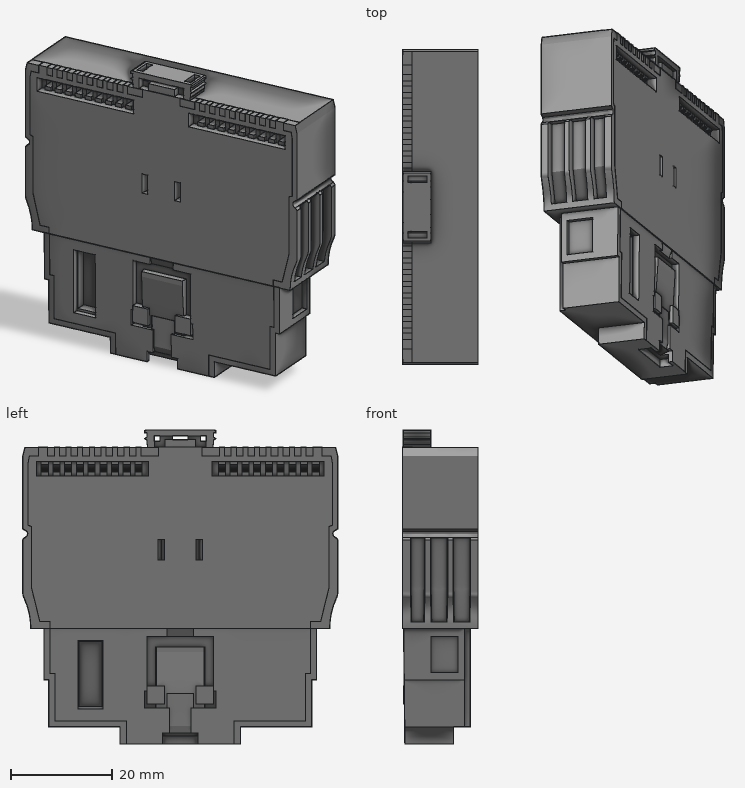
import cadquery as cq


housing_width = 14.9
housing_half_length = 31.1
housing_top = 58.6
housing_bottom = 22.8
top_edge_half_length = 30.65
top_taper_start = 56.8
bend_top = 30.1
bend_middle = (31.02, 29.4)
bend_y = 30.8
bend_bottom = 28.8
skirt_middle = (29.95, 26.4)
skirt_half_length = 29.5

notch_top = 42.5
notch_root_start = (30.3, 42.0)
notch_root_middle = (30.15, 41.35)
notch_lip = (30.7, 40.8)
notch_bottom = 40.3

cover_thickness = 1.85
seam_step = 0.05
cover_half_length = 30.0
cover_corner_y = 29.75
cover_corner_z = 55.6
cover_shoulder = 56.9
cover_neck_top = 43.2
cover_neck_bottom = 42.9
cover_neck_y = 29.3
cover_bend = 30.7
cover_heel_y = 27.7
cover_heel_z = 24.2
cover_top_half_length = 28.0

tooth_count = 8
tooth_pitch = 2.3
tooth_width = 1.3
first_tooth_y = 25.5
wide_tooth_inner = 4.3
wide_tooth_outer = 7.7

body_left_top = 0.2
body_left_bottom = 0.45
body_right = 12.2
back_strip_right = 13.4
body_half_length = 26.9
body_step_z = 12.7
body_lower_half_length = 25.95
body_bottom = 3.4
foot_half_length = 11.9
foot_right = 10.05
lower_cover_inset = 1.25
lower_cover_rise = 1.2

grip_slots = ((1.55, 4.45), (5.5, 8.95), (9.95, 13.45))
grip_top = 40.7
grip_bottom = 24.1
grip_draft = 0.15

window_inner = 6.3
window_outer = 28.4
window_bottom = 52.9
window_top = 55.8
window_depth = 2.0
rib_count = 9
rib_pitch = 2.31
rib_first_y = 8.25
rib_width = 1.4
rib_height = 0.6
rib_hole_bottom = 53.7
rib_hole_top = 55.2
rib_hole_depth = 3.0

key_inner = 3.1
key_outer = 4.4
key_floor_outer = 3.65
key_bottom = 36.3
key_top = 40.4
key_depth = 4.0

connector_y = (15.2, 20.2)
connector_z = (6.9, 20.5)
connector_step_depth = 1.6
connector_depth = 3.8
connector_inset = 0.25
connector_floor_inset = 0.5

end_pocket_x = (5.6, 11.0)
end_pocket_z = (14.1, 21.2)
end_pocket_depth = 1.1

latch_half_width = 6.6
latch_bottom = 7.15
latch_top = 21.2
latch_floor = 1.7
latch_wing_half_width = 7.05
latch_wing_top = 10.5
ramp_half_width = 2.6
ramp_depth = 0.8
slider_half_width = 4.85
slider_top = 19.2
slider_edge = 18.1
slider_front = 0.35
slider_back = 1.05
slider_draft = 0.2
tongue_front = 0.8
tongue_top = 10.0
tongue_half_width = 2.6
channel_half_width = 2.1
channel_slope_top = 3.5
channel_bottom = 2.25
channel_slope_run = 0.4
clip_y = (3.1, 6.6)
clip_z = (7.9, 11.5)
clip_front = 0.2
foot_notch_half_width = 3.5
foot_notch_top = 2.25
foot_notch_depth = 3.0
foot_notch_lip = 1.6
foot_wall = 1.3
foot_cavity_half_width = 6.0
foot_cavity_depth = 4.0

tab_top = 62.0
tab_x = (0.15, 5.6)
tab_half_length = 6.6
tab_flange_half_length = 7.05
tab_top_half_length = 6.7
tab_flange_edge = 61.85
tab_waist_half_length = 6.5
tab_waist_top = 59.1
tab_flange_bottom = 61.4
tab_ridge_bottom = 60.0
tab_ridge_top = 60.6
tab_opening_half = 5.1
tab_opening_top = 60.8
tab_front_block_half = 3.0
tab_front_block_top = 60.1
tab_front_block_depth = 1.5
tab_back_block_half = 4.0
tab_back_gap_half = 1.5
tab_foot_top = 59.8
tab_slot_x = (1.05, 4.8)
tab_slot_y = (4.8, 6.1)

overlap = 1.0


def box(x_range, y_range, z_range):
    """Axis-aligned box between the given limits."""
    size = [limits[1] - limits[0] for limits in (x_range, y_range, z_range)]
    return cq.Workplane("XY").box(*size, centered=False).translate((x_range[0], y_range[0], z_range[0]))


def both_sides(half):
    """The shape together with its mirror image across Y = 0."""
    return half.union(half.mirror("XZ"))


def end_prism(points, x_start, x_end):
    """Prism along X over an outline of (Y, Z) points."""
    outline = cq.Workplane("YZ").workplane(offset=x_start).polyline(points).close()
    return outline.extrude(x_end - x_start)


def side_prism(points, half_length):
    """Prism along Y, centred on Y = 0, over an outline of (X, Z) points."""
    return cq.Workplane("XZ").polyline(points).close().extrude(half_length, both=True)


def housing_shell():
    half = (
        cq.Workplane("YZ")
        .workplane(offset=seam_step)
        .moveTo(0, housing_bottom)
        .lineTo(skirt_half_length, housing_bottom)
        .threePointArc(skirt_middle, (bend_y, bend_bottom))
        .threePointArc(bend_middle, (housing_half_length, bend_top))
        .lineTo(housing_half_length, notch_bottom)
        .lineTo(*notch_lip)
        .threePointArc(notch_root_middle, notch_root_start)
        .lineTo(housing_half_length, notch_top)
        .lineTo(housing_half_length, top_taper_start)
        .lineTo(top_edge_half_length, housing_top - seam_step)
        .lineTo(0, housing_top - seam_step)
        .close()
        .extrude(housing_width - seam_step)
    )
    front_strip = box(
        (0, cover_thickness),
        (-housing_half_length, housing_half_length),
        (housing_top - 2 * seam_step, housing_top),
    )
    return both_sides(half).cut(front_strip)


def upper_cover():
    half = end_prism(
        [
            (0, housing_bottom),
            (body_half_length - lower_cover_inset, housing_bottom),
            (body_half_length - lower_cover_inset, cover_heel_z),
            (cover_heel_y, cover_heel_z),
            (cover_neck_y, cover_bend),
            (cover_neck_y, cover_neck_bottom),
            (cover_half_length, cover_neck_top),
            (cover_half_length, cover_corner_z),
            (cover_corner_y, cover_shoulder),
            (cover_top_half_length, cover_shoulder),
            (cover_top_half_length, housing_top),
            (0, housing_top),
        ],
        0,
        cover_thickness,
    )
    tooth_x = (-overlap, cover_thickness + overlap)
    tooth_z = (cover_shoulder, housing_top + overlap)
    half = half.cut(box(tooth_x, (wide_tooth_inner, wide_tooth_outer), tooth_z))
    for index in range(tooth_count):
        middle = first_tooth_y - index * tooth_pitch
        half = half.cut(box(tooth_x, (middle - tooth_width / 2, middle + tooth_width / 2), tooth_z))
    return both_sides(half)


def body_outline(inset, rise):
    """Stepped (Y, Z) outline of the lower body, drawn in by the inset and up by the rise."""
    half = [
        (foot_half_length - inset, 0),
        (foot_half_length - inset, body_bottom + rise),
        (body_lower_half_length - inset, body_bottom + rise),
        (body_lower_half_length - inset, body_step_z + rise),
        (body_half_length - inset, body_step_z + rise),
        (body_half_length - inset, housing_bottom),
    ]
    return half + [(-y, z) for y, z in reversed(half)]


def lower_body():
    left_profile = [
        (body_left_top, housing_bottom),
        (body_left_bottom, 0),
        (foot_right, 0),
        (foot_right, body_bottom),
        (back_strip_right, body_bottom),
        (back_strip_right, housing_bottom),
    ]
    shell = end_prism(body_outline(0, 0), seam_step, body_right)
    cover = end_prism(body_outline(lower_cover_inset, lower_cover_rise), 0, cover_thickness)
    back_strip_half_length = body_lower_half_length - lower_cover_inset
    back_strip = box(
        (body_right, back_strip_right),
        (-back_strip_half_length, back_strip_half_length),
        (body_bottom, housing_bottom),
    )
    profile = side_prism(left_profile, body_half_length)
    shell = shell.union(back_strip).intersect(profile.translate((seam_step, 0, 0)))
    return shell.union(cover.intersect(profile))


def grip_slot_cutters():
    floor = [
        (cover_neck_y, grip_top),
        (cover_neck_y, cover_bend),
        (cover_heel_y, grip_bottom),
        (housing_half_length + overlap, grip_bottom),
        (housing_half_length + overlap, grip_top),
    ]
    region = end_prism(floor, 0, housing_width)
    draft_slope = grip_draft / (housing_half_length - cover_neck_y)
    outer_y = housing_half_length + overlap
    outer_growth = draft_slope * overlap
    inner_shrink = draft_slope * (housing_half_length - cover_heel_y)
    cutters = cq.Workplane("XY")
    for first, last in grip_slots:
        wedge = (
            cq.Workplane("XY")
            .polyline(
                [
                    (first + inner_shrink, cover_heel_y),
                    (last - inner_shrink, cover_heel_y),
                    (last + outer_growth, outer_y),
                    (first - outer_growth, outer_y),
                ]
            )
            .close()
            .extrude(housing_top)
        )
        cutters = cutters.add(region.intersect(wedge))
    return both_sides(cutters.combine())


def window_cutters():
    half = box((-overlap, window_depth), (window_inner, window_outer), (window_bottom, window_top))
    rib_x = (window_depth - rib_height, window_depth)
    hole = [
        (rib_x[0], rib_hole_bottom),
        (rib_x[0] + rib_hole_depth, rib_hole_bottom),
        (rib_x[0], rib_hole_top),
    ]
    for index in range(rib_count):
        middle = rib_first_y + index * rib_pitch
        rib_y = (middle - rib_width / 2, middle + rib_width / 2)
        half = half.cut(box(rib_x, rib_y, (window_bottom, window_top)))
        half = half.union(side_prism(hole, rib_width / 2).translate((0, middle, 0)))
    return both_sides(half)


def key_slot_cutters():
    half = (
        cq.Workplane("XY")
        .workplane(offset=key_bottom)
        .polyline([(0, key_inner), (key_depth, key_inner), (key_depth, key_floor_outer), (0, key_outer)])
        .close()
        .extrude(key_top - key_bottom)
    )
    return both_sides(half)


def connector_cutter():
    opening = box((-overlap, connector_step_depth), connector_y, connector_z)
    inner = box(
        (0, connector_depth),
        (connector_y[0] + connector_inset, connector_y[1] - connector_inset),
        (connector_z[0] + connector_floor_inset, connector_z[1] - connector_inset),
    )
    return opening.union(inner)


def end_pocket_cutters():
    pocket_y = (body_half_length - end_pocket_depth, body_half_length + overlap)
    return both_sides(box(end_pocket_x, pocket_y, end_pocket_z))


def latch_cutters():
    recess_x = (-overlap, latch_floor)
    recess = box(recess_x, (-latch_half_width, latch_half_width), (latch_bottom, latch_top))
    wings = box(
        recess_x, (-latch_wing_half_width, latch_wing_half_width), (latch_bottom, latch_wing_top)
    )
    ramp = side_prism(
        [(0, latch_top), (ramp_depth, latch_top), (body_left_top, housing_bottom), (0, housing_bottom)],
        ramp_half_width,
    )
    channel = side_prism(
        [
            (0, latch_bottom),
            (tongue_front, latch_bottom),
            (tongue_front, channel_slope_top),
            (tongue_front + channel_slope_run, channel_bottom),
            (0, channel_bottom),
        ],
        channel_half_width,
    )
    foot_notch = side_prism(
        [
            (0, 0),
            (foot_notch_depth, 0),
            (foot_notch_depth, foot_notch_lip),
            (tongue_front + channel_slope_run, foot_notch_top),
            (0, foot_notch_top),
        ],
        foot_notch_half_width,
    )
    foot_cavity = box(
        (foot_wall, foot_cavity_depth),
        (-foot_cavity_half_width, foot_cavity_half_width),
        (0, foot_notch_lip),
    )
    return recess.union(wings).union(ramp).union(channel).union(foot_notch).union(foot_cavity)


def latch_slider():
    block = side_prism(
        [
            (latch_floor, slider_top),
            (slider_front, slider_top),
            (slider_front, slider_edge),
            (slider_back, latch_bottom),
            (latch_floor, latch_bottom),
        ],
        slider_half_width,
    )
    drafted_sides = (
        cq.Workplane("XY")
        .polyline(
            [
                (latch_floor, -slider_half_width),
                (latch_floor, slider_half_width),
                (slider_front, slider_half_width - slider_draft),
                (slider_front, slider_draft - slider_half_width),
            ]
        )
        .close()
        .extrude(slider_top)
    )
    block = block.intersect(drafted_sides)
    tongue = box(
        (tongue_front, latch_floor), (-tongue_half_width, tongue_half_width), (latch_bottom, tongue_top)
    )
    clips = both_sides(box((clip_front, latch_floor), clip_y, clip_z))
    return block.union(tongue).union(clips)


def clip_tab():
    ridge_middle = (tab_ridge_bottom + tab_ridge_top) / 2
    base = housing_top - overlap
    half = end_prism(
        [
            (0, base),
            (tab_waist_half_length, base),
            (tab_waist_half_length, tab_waist_top),
            (tab_half_length, tab_waist_top),
            (tab_half_length, tab_ridge_bottom),
            (tab_flange_half_length, ridge_middle),
            (tab_half_length, tab_ridge_top),
            (tab_half_length, tab_flange_bottom),
            (tab_flange_half_length, tab_flange_bottom),
            (tab_flange_half_length, tab_flange_edge),
            (tab_top_half_length, tab_top),
            (0, tab_top),
        ],
        *tab_x,
    )
    half = half.cut(box(tab_x, (0, tab_opening_half), (housing_top, tab_opening_top)))
    half = half.cut(box(tab_slot_x, tab_slot_y, (tab_opening_top, tab_top)))
    front_block_x = (tab_x[0], tab_x[0] + tab_front_block_depth)
    back_block_x = (front_block_x[1], tab_x[1])
    half = half.union(box(front_block_x, (0, tab_front_block_half), (base, tab_front_block_top)))
    half = half.union(box(back_block_x, (tab_back_gap_half, tab_back_block_half), (base, tab_opening_top)))
    half = half.union(box(back_block_x, (0, tab_back_gap_half), (base, tab_front_block_top)))
    half = half.union(box(back_block_x, (0, tab_waist_half_length), (base, tab_foot_top)))
    return both_sides(half)


result = housing_shell().union(upper_cover()).union(lower_body())
result = result.cut(grip_slot_cutters()).cut(window_cutters()).cut(key_slot_cutters())
result = result.cut(connector_cutter()).cut(end_pocket_cutters())
result = result.cut(latch_cutters()).union(latch_slider()).union(clip_tab())